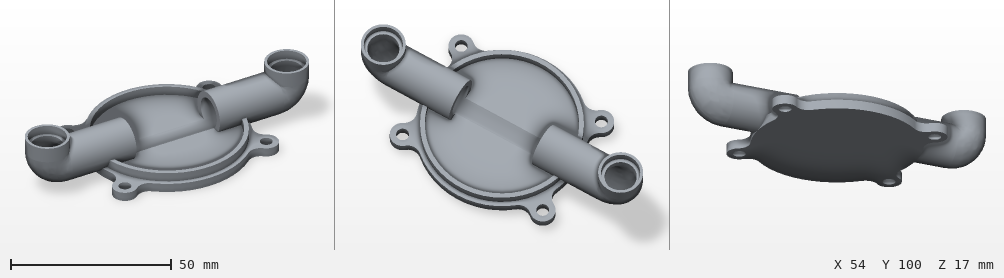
import cadquery as cq
import math

plate_radius = 27
plate_thickness = 3
rim_outer_radius = 25.5
rim_inner_radius = 24
rim_height = 3

ear_radius = 4
ear_hole_diameter = 4
ear_angle = 55
ear_distance = plate_radius + ear_radius
ear_blend_radius = 4

overall_length = 100
overall_height = 17
pipe_radius = 7
bore_radius = 5
bend_radius = 5
pipe_start = 15
socket_diameter = 12.2
socket_depth = 3

pipe_axis_height = pipe_radius
riser_y = overall_length / 2 - pipe_radius
bend_y = riser_y - bend_radius
bend_height = pipe_axis_height + bend_radius


def polar(distance, degrees):
    angle = math.radians(degrees)
    return (distance * math.cos(angle), distance * math.sin(angle))


def make_ear():
    """One ear on the +X +Y side, blended into the plate by two concave arcs."""
    centre = polar(ear_distance, ear_angle)
    blend_distance = plate_radius + ear_blend_radius
    ear_to_blend = ear_radius + ear_blend_radius
    cos_spread = (blend_distance**2 + ear_distance**2 - ear_to_blend**2) / (
        2 * blend_distance * ear_distance
    )
    spread = math.degrees(math.acos(cos_spread))
    blends = [polar(blend_distance, ear_angle + side * spread) for side in (-1, 1)]

    web = (
        cq.Workplane("XY")
        .polyline([(0, 0), blends[0], centre, blends[1]])
        .close()
        .extrude(plate_thickness)
    )
    web = web.cut(cq.Workplane("XY").pushPoints(blends).circle(ear_blend_radius).extrude(plate_thickness))
    disc = cq.Workplane("XY").center(*centre).circle(ear_radius).extrude(plate_thickness)
    hole = cq.Workplane("XY").center(*centre).circle(ear_hole_diameter / 2).extrude(plate_thickness)
    return web.union(disc).cut(hole)


def make_cover():
    """Plate, raised rim and the four mirrored ears."""
    plate = cq.Workplane("XY").circle(plate_radius).extrude(plate_thickness)
    rim = (
        cq.Workplane("XY")
        .workplane(offset=plate_thickness)
        .circle(rim_outer_radius)
        .circle(rim_inner_radius)
        .extrude(rim_height)
    )
    ear = make_ear()
    ear_pair = ear.union(ear.mirror("YZ"))
    return plate.union(rim).union(ear_pair).union(ear_pair.mirror("XZ"))


def elbow(radius, start):
    """Solid round elbow on the +Y side: straight run, quarter bend and riser."""
    run = cq.Workplane("XZ", origin=(0, start, pipe_axis_height)).circle(radius).extrude(start - bend_y)
    riser = (
        cq.Workplane("XY", origin=(0, riser_y, bend_height))
        .circle(radius)
        .extrude(overall_height - bend_height)
    )
    half_chord = math.sqrt(radius**2 - bend_radius**2)
    half_sweep = (math.pi - math.acos(bend_radius / radius)) / 2
    arc_x = radius * math.sin(half_sweep)
    arc_y = bend_radius + radius * math.cos(half_sweep)
    bend_half = (
        cq.Workplane("XY", origin=(0, bend_y, bend_height))
        .moveTo(half_chord, 0)
        .threePointArc((arc_x, arc_y), (0, bend_radius + radius))
        .lineTo(0, 0)
    )
    if half_chord > 0:
        bend_half = bend_half.close()
    bend_half = bend_half.wire().revolve(90, (0, 0), (-1, 0))
    bend = bend_half.union(bend_half.mirror("YZ"))
    bend = cq.Workplane(bend.val().toNURBS())
    return run.union(riser).union(bend, clean=False)


def make_socket():
    """Counterbore in the mouth of the +Y riser."""
    return (
        cq.Workplane("XY", origin=(0, riser_y, overall_height))
        .circle(socket_diameter / 2)
        .extrude(-socket_depth)
    )


pipe = elbow(pipe_radius, pipe_start).cut(elbow(bore_radius, pipe_start)).cut(make_socket())

groove = (
    cq.Workplane("XZ", origin=(0, 0, pipe_axis_height))
    .circle(bore_radius)
    .extrude(plate_radius, both=True)
)

result = make_cover().cut(groove).union(pipe).union(pipe.mirror("XZ"))